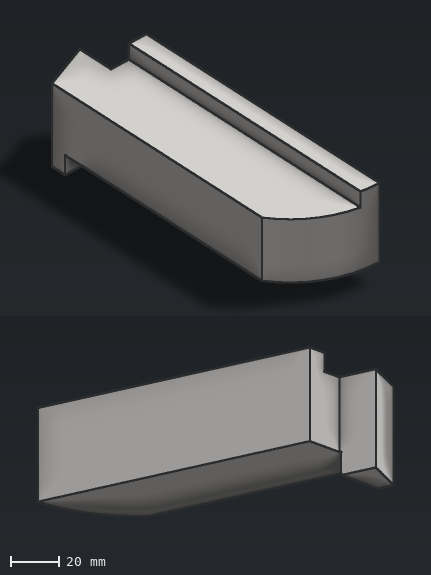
import cadquery as cq
import math

length = 162.4
width = 45.0
height = 51.0

front_width = 25.0
end_slant = 10.0

rear_start = 19.2
rail_width = 10.0
rail_height = 8.2

foot_length = 18.2
foot_height = 10.2

nose_radius = 55.0

body_top = height - rail_height


def nose_x(y):
    """X of the rounded end at a given Y."""
    center_x = length - nose_radius
    return center_x + math.sqrt(nose_radius**2 - (width - y) ** 2)


def make_body():
    """Main body: the full plan outline, from its underside to its top."""
    return (
        cq.Workplane("XY", origin=(0, 0, foot_height))
        .moveTo(end_slant, 0)
        .lineTo(nose_x(0), 0)
        .threePointArc((nose_x(width / 2), width / 2), (length, width))
        .lineTo(rear_start, width)
        .lineTo(rear_start, front_width)
        .lineTo(0, front_width)
        .close()
        .extrude(body_top - foot_height)
    )


def make_rail():
    """Rail along the rear edge, following the rounded end."""
    rail_front = width - rail_width
    rail_middle = width - rail_width / 2
    return (
        cq.Workplane("XY", origin=(0, 0, body_top))
        .moveTo(rear_start, rail_front)
        .lineTo(nose_x(rail_front), rail_front)
        .threePointArc((nose_x(rail_middle), rail_middle), (length, width))
        .lineTo(rear_start, width)
        .close()
        .extrude(rail_height)
    )


def make_foot():
    """Foot under the front portion, continuing the slanted end downward."""
    return (
        cq.Workplane("XY")
        .moveTo(end_slant, 0)
        .lineTo(foot_length, 0)
        .lineTo(foot_length, front_width)
        .lineTo(0, front_width)
        .close()
        .extrude(foot_height)
    )


result = make_body().union(make_rail()).union(make_foot())